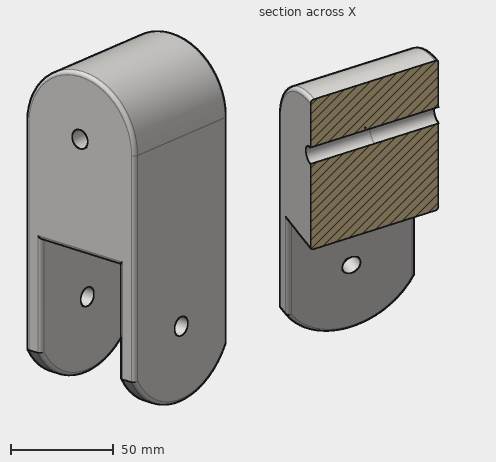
import cadquery as cq
import math

height = 174.4
width = 70.0
depth = 70.0
top_radius = width / 2

wall = 10.0
slot_width = width - 2 * wall
slot_height = 80.0
tip_radius = 40.0

hole_diameter = 10.0
edge_round = 2.1

top_hole_z = height - top_radius
fork_hole_z = tip_radius
tip_corner_z = fork_hole_z - math.sqrt(tip_radius**2 - (depth / 2) ** 2)


def front_outline():
    """Upright body with a half-round top, extruded along Y."""
    return (
        cq.Workplane("XZ")
        .moveTo(-width / 2, 0)
        .lineTo(width / 2, 0)
        .lineTo(width / 2, top_hole_z)
        .threePointArc((0, height), (-width / 2, top_hole_z))
        .close()
        .extrude(depth / 2, both=True)
    )


def side_outline():
    """Side envelope whose lower end is an arc about the fork hole, extruded along X."""
    return (
        cq.Workplane("YZ")
        .moveTo(-depth / 2, height)
        .lineTo(-depth / 2, tip_corner_z)
        .threePointArc((0, 0), (depth / 2, tip_corner_z))
        .lineTo(depth / 2, height)
        .close()
        .extrude(width / 2, both=True)
    )


def slot():
    """Square-cornered slot between the fork arms, open through the full depth."""
    return cq.Workplane("XY").rect(slot_width, depth).extrude(slot_height)


def hole(plane, z):
    """Through hole across the part at height z."""
    return cq.Workplane(plane).center(0, z).circle(hole_diameter / 2).extrude(width, both=True)


def round_edges(body):
    """Round the front and back outlines and the tip arcs, leaving the tip corners sharp."""
    outline_edges = body.faces("<Y or >Y").edges("not <Z")
    tip_arcs = body.edges("%CIRCLE").edges("<Z")
    return outline_edges.add(tip_arcs).fillet(edge_round)


body = front_outline().intersect(side_outline()).cut(slot())
body = round_edges(body)

result = body.cut(hole("XZ", top_hole_z)).cut(hole("YZ", fork_hole_z))